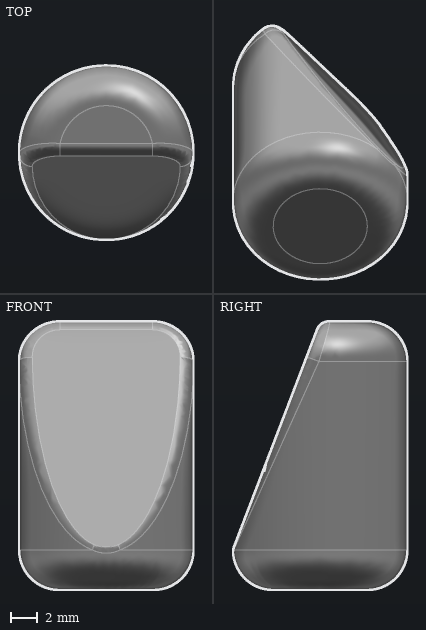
import cadquery as cq

diameter = 13.0
height = 20.0
end_round = 3.0
face_round = 1.0

radius = diameter / 2
face_top_y = 0.0
face_foot_y = -radius
face_foot_z = end_round
cutter_margin = 5.0


def rounded_pillar():
    pillar = cq.Workplane("XY").circle(radius).extrude(height)
    return pillar.faces("<Z or >Z").edges().fillet(end_round)


def slant_cutter():
    """Prism along X that removes everything in front of the slanted plane."""
    slope = (face_top_y - face_foot_y) / (height - face_foot_z)
    high_z = height + cutter_margin
    high_y = face_top_y + slope * cutter_margin
    low_y = face_foot_y - slope * face_foot_z
    front_y = -radius - cutter_margin
    return (
        cq.Workplane("YZ")
        .moveTo(high_y, high_z)
        .lineTo(low_y, 0)
        .lineTo(front_y, 0)
        .lineTo(front_y, high_z)
        .close()
        .extrude(radius + cutter_margin, both=True)
    )


def round_slanted_face(body):
    face_direction = cq.Vector(0, face_foot_z - height, face_top_y - face_foot_y).normalized()
    slanted_face = body.faces(cq.selectors.ParallelDirSelector(face_direction))
    return slanted_face.edges().fillet(face_round)


result = round_slanted_face(rounded_pillar().cut(slant_cutter()))